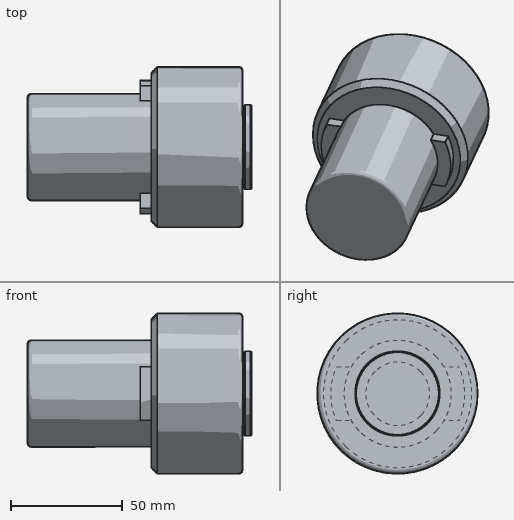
import cadquery as cq

overall_length = 100.5

shank_diameter = 48.0
shank_length = 55.5
shank_end_fillet = 2.0

head_diameter = 72.0
head_length = 41.0
head_front_chamfer = 2.8
head_back_fillet = 2.0

lug_diameter = 60.0
lug_width = 24.0
lug_thickness = 5.0

neck_diameter = 28.5
flange_diameter = 38.0
flange_thickness = 3.3
flange_edge_chamfer = 0.5


def cylinder(start, length, diameter):
    """Solid cylinder along +X whose near face is at X = start."""
    return cq.Workplane("YZ", origin=(start, 0, 0)).circle(diameter / 2).extrude(length)


def make_shank():
    shank = cylinder(0, shank_length, shank_diameter)
    return shank.faces("<X").edges().fillet(shank_end_fillet)


def make_head():
    head = cylinder(shank_length, head_length, head_diameter)
    head = head.faces("<X").edges().chamfer(head_front_chamfer)
    return head.faces(">X").edges().fillet(head_back_fillet)


def make_lugs():
    """Two opposite lugs: a disc in front of the head trimmed to a flat-sided strip across Y."""
    start = shank_length - lug_thickness
    disc = cylinder(start, lug_thickness, lug_diameter)
    strip = (
        cq.Workplane("YZ", origin=(start, 0, 0))
        .rect(lug_diameter, lug_width)
        .extrude(lug_thickness)
    )
    return disc.intersect(strip)


def make_neck():
    start = shank_length + head_length
    return cylinder(start, overall_length - start, neck_diameter)


def make_end_flange():
    flange = cylinder(overall_length - flange_thickness, flange_thickness, flange_diameter)
    return flange.edges().chamfer(flange_edge_chamfer)


result = (
    make_shank()
    .union(make_head())
    .union(make_lugs())
    .union(make_neck())
    .union(make_end_flange())
)